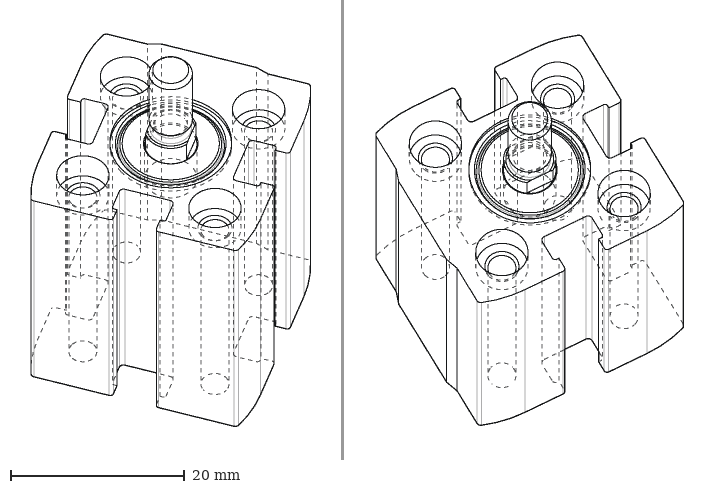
import cadquery as cq
import math

total_height = 43.0
housing_height = 30.5

half_width = 13.5
flat_half_length = 8.0
side_arc_radius = 15.0
corner_fillet = 0.5
crown_height = 0.5
crown_half_width = 5.75
crown_foot_half_width = 7.3

slot_mouth_width = 5.2
slot_pocket_width = 6.5
slot_lip = 1.7
slot_depth = 5.0
slot_lip_fillet = 0.4
slot_pocket_fillet = 0.5
slot_corner_fillet = 0.35

hole_offset = 8.0
hole_diameter = 3.22
hole_chamfer_diameter = 3.9
counterbore_diameter = 6.0
counterbore_depth = 3.5

bore_diameter = 14.0
ring_diameter = 12.73
groove_diameter = 12.35
cap_diameter = 12.0
cap_break_diameter = 11.7
cap_face_diameter = 11.2
cap_recess = 0.2
cap_break_drop = 0.15
cap_edge_drop = 0.17
rod_hole_chamfer = 0.15
groove_depth = 0.45
ring_drop = 0.35

rod_diameter = 6.0
rod_insertion = rod_diameter
thread_diameter = 5.0
neck_diameter = 3.9
tip_diameter = 4.13
tip_chamfer_height = 0.6
thread_bottom = 34.4
neck_fillet = 0.45
collar_top = 32.95
collar_chamfer_width = 0.25
collar_chamfer_height = 0.15
flats_width = thread_diameter
flats_runout_drop = 0.25

cap_face = housing_height - cap_recess
rod_bottom = cap_face - rod_insertion


def make_profile():
    """Solid extrusion of the housing outline, without slots or holes."""
    arc_rise = half_width - flat_half_length

    def arc_x(rise):
        return half_width - side_arc_radius + math.sqrt(side_arc_radius**2 - rise**2)

    corner_x = arc_x(arc_rise)
    mid_x = arc_x(arc_rise / 2)
    mid_y = flat_half_length + arc_rise / 2
    block = (
        cq.Workplane("XY")
        .moveTo(-corner_x, -half_width)
        .lineTo(corner_x, -half_width)
        .threePointArc((mid_x, -mid_y), (half_width, -flat_half_length))
        .lineTo(half_width, flat_half_length)
        .threePointArc((mid_x, mid_y), (corner_x, half_width))
        .lineTo(-corner_x, half_width)
        .threePointArc((-mid_x, mid_y), (-half_width, flat_half_length))
        .lineTo(-half_width, -flat_half_length)
        .threePointArc((-mid_x, -mid_y), (-corner_x, -half_width))
        .close()
        .extrude(housing_height)
    )
    for side in ("<Y", ">Y"):
        block = block.faces(side).edges("|Z").fillet(corner_fillet)

    crown = (
        cq.Workplane("XY")
        .polyline([
            (-crown_foot_half_width, half_width),
            (-crown_half_width, half_width + crown_height),
            (crown_half_width, half_width + crown_height),
            (crown_foot_half_width, half_width),
            (0, 0),
        ])
        .close()
        .extrude(housing_height)
    )
    return block.union(crown)


def make_slot_cutter():
    """T-shaped cutter for the -Y side, its mouth flaring out in two lip fillets."""
    mouth = slot_mouth_width / 2
    pocket = slot_pocket_width / 2
    pocket_length = slot_depth - slot_lip
    flare = mouth + slot_lip_fillet
    flare_mid = slot_lip_fillet * (1 - math.sqrt(0.5))

    throat = (
        cq.Workplane("XY")
        .moveTo(-flare, -half_width)
        .threePointArc(
            (-mouth - flare_mid, -half_width + flare_mid),
            (-mouth, -half_width + slot_lip_fillet),
        )
        .lineTo(-mouth, -half_width + slot_lip)
        .lineTo(mouth, -half_width + slot_lip)
        .lineTo(mouth, -half_width + slot_lip_fillet)
        .threePointArc((mouth + flare_mid, -half_width + flare_mid), (flare, -half_width))
        .close()
        .extrude(housing_height)
    )
    chamber = (
        cq.Workplane("XY")
        .center(0, -half_width + slot_lip + pocket_length / 2)
        .rect(2 * pocket, pocket_length)
        .extrude(housing_height)
    )
    chamber = chamber.faces(">Y").edges("|Z").fillet(slot_pocket_fillet)
    chamber = chamber.faces("<Y").edges("|Z").fillet(slot_corner_fillet)
    return throat.union(chamber)


def make_mounting_hole_cutter():
    """Through hole with a counterbore from the top and a chamfered shoulder."""
    shoulder = housing_height - counterbore_depth
    chamfer = (hole_chamfer_diameter - hole_diameter) / 2
    return (
        cq.Workplane("XZ")
        .polyline([
            (0, 0),
            (hole_diameter / 2, 0),
            (hole_diameter / 2, shoulder - chamfer),
            (hole_chamfer_diameter / 2, shoulder),
            (counterbore_diameter / 2, shoulder),
            (counterbore_diameter / 2, housing_height),
            (0, housing_height),
        ])
        .close()
        .revolve(360, (0, 0, 0), (0, 1, 0))
    )


def make_bearing_cutter():
    """Top recess that leaves the cap face, a narrow groove and a conical ring."""
    cap_break = cap_face - cap_break_drop
    return (
        cq.Workplane("XZ")
        .polyline([
            (0, housing_height),
            (0, cap_face),
            (cap_face_diameter / 2, cap_face),
            (cap_break_diameter / 2, cap_break),
            (cap_diameter / 2, cap_break - cap_edge_drop),
            (groove_diameter / 2, cap_face - groove_depth),
            (ring_diameter / 2, cap_face),
            (bore_diameter / 2, cap_face - ring_drop),
            (bore_diameter / 2, housing_height),
        ])
        .close()
        .revolve(360, (0, 0, 0), (0, 1, 0))
    )


def make_housing():
    body = make_profile()

    slot = make_slot_cutter()
    for angle in (-90, 0, 90):
        body = body.cut(slot.rotate((0, 0, 0), (0, 0, 1), angle))

    hole = make_mounting_hole_cutter()
    for x in (-hole_offset, hole_offset):
        for y in (-hole_offset, hole_offset):
            body = body.cut(hole.translate((x, y, 0)))

    body = body.cut(make_bearing_cutter())
    rod_hole = (
        cq.Workplane("XY", origin=(0, 0, rod_bottom))
        .circle(rod_diameter / 2)
        .extrude(rod_insertion)
    )
    chamfer_cone = cq.Solid.makeCone(
        rod_diameter / 2,
        rod_diameter / 2 + rod_hole_chamfer,
        rod_hole_chamfer,
        pnt=cq.Vector(0, 0, cap_face - rod_hole_chamfer),
    )
    return body.cut(rod_hole).cut(cq.Workplane(chamfer_cone))


def make_piston_rod():
    """Stepped rod with a relieved neck below the thread and two wrench flats."""
    rod_radius = rod_diameter / 2
    thread_radius = thread_diameter / 2
    neck_radius = neck_diameter / 2
    neck_chamfer = thread_radius - neck_radius
    fillet_mid = neck_fillet * (1 - math.sqrt(0.5))
    rod = (
        cq.Workplane("XZ")
        .moveTo(0, rod_bottom)
        .lineTo(rod_radius, rod_bottom)
        .lineTo(rod_radius, collar_top - collar_chamfer_height)
        .lineTo(rod_radius - collar_chamfer_width, collar_top)
        .lineTo(neck_radius + neck_fillet, collar_top)
        .threePointArc(
            (neck_radius + fillet_mid, collar_top + fillet_mid),
            (neck_radius, collar_top + neck_fillet),
        )
        .lineTo(neck_radius, thread_bottom - neck_chamfer)
        .lineTo(thread_radius, thread_bottom)
        .lineTo(thread_radius, total_height - tip_chamfer_height)
        .lineTo(tip_diameter / 2, total_height)
        .lineTo(0, total_height)
        .close()
        .revolve(360, (0, 0, 0), (0, 1, 0))
    )
    flat_cutter = (
        cq.Workplane("XZ", origin=(0, rod_diameter, 0))
        .polyline([
            (flats_width / 2, collar_top),
            (flats_width / 2, cap_face),
            (rod_radius, cap_face - flats_runout_drop),
            (rod_radius, collar_top),
        ])
        .close()
        .extrude(2 * rod_diameter)
    )
    for angle in (0, 180):
        rod = rod.cut(flat_cutter.rotate((0, 0, 0), (0, 0, 1), angle))
    return rod


housing = make_housing()
piston_rod = make_piston_rod()

result = cq.Compound.makeCompound([housing.val(), piston_rod.val()])